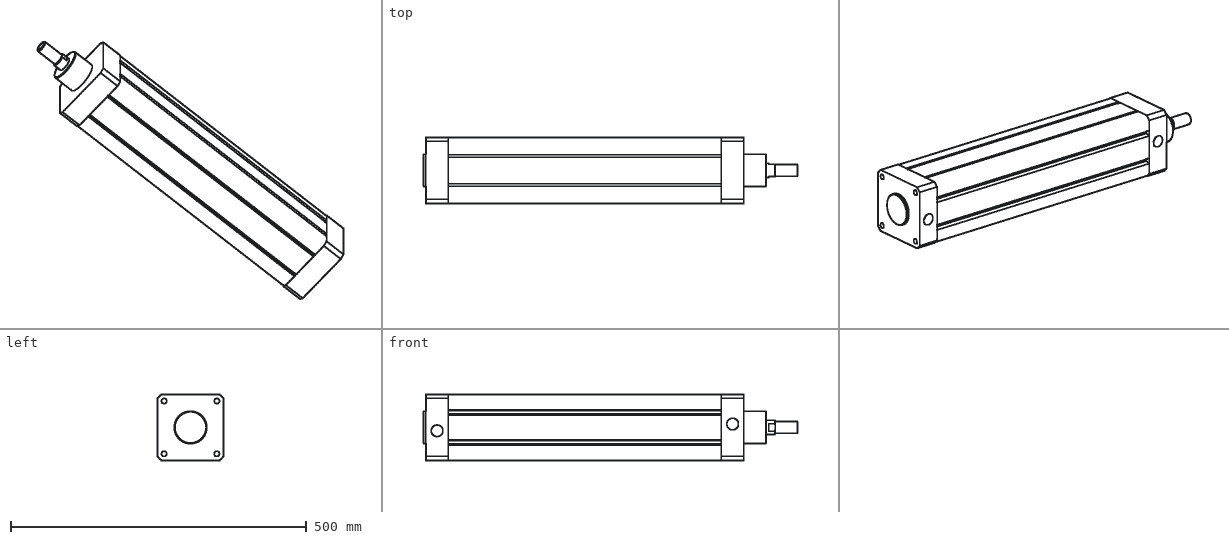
import cadquery as cq


ORIGIN = (0, 0, 0)
X_DIRECTION = (1, 0, 0)

SECTION = 112.0
HALF_SECTION = SECTION / 2
CAP_CHAMFER = 7.0
TUBE_CORNER_RADIUS = 11.5

TOTAL_LENGTH = 633.0
REAR_BOSS_LENGTH = 4.5
CAP_LENGTH = 38.0
TUBE_LENGTH = 461.5
FRONT_BOSS_LENGTH = 38.0

REAR_CAP_START = REAR_BOSS_LENGTH
TUBE_START = REAR_CAP_START + CAP_LENGTH
FRONT_CAP_START = TUBE_START + TUBE_LENGTH
FRONT_CAP_END = FRONT_CAP_START + CAP_LENGTH
ROD_START = FRONT_CAP_END + FRONT_BOSS_LENGTH

BOSS_DIAMETER = 55.0
BOSS_CHAMFER = 1.0

PORT_DIAMETER = 19.5
PORT_DEPTH = 19.0
PORT_OFFSET = 6.0

SCREW_HOLE_DIAMETER = 9.0
SCREW_HOLE_DEPTH = 9.5
SCREW_SPACING = 89.0

GROOVE_DEPTH = 7.5
SIDE_GROOVE_OFFSET = 25.5
SIDE_GROOVE_MOUTH = 9.5
SIDE_GROOVE_FLOOR = 5.0
TOP_GROOVE_OFFSET = 25.0
TOP_GROOVE_WIDTH = 4.5

COLLAR_DIAMETER = 25.0
COLLAR_LENGTH = 15.0
COLLAR_CHAMFER = 1.0
FLAT_SPACING = 21.0
FLAT_MARGIN = 4.5
THREAD_DIAMETER = 20.0
THREAD_CHAMFER = 1.0


def section_plane(x):
    """Plane square to the X axis: local x is Y and local y is Z."""
    return cq.Workplane("YZ", origin=(x, 0, 0))


def square_bar(x_start, length):
    return section_plane(x_start).rect(SECTION, SECTION).extrude(length)


def cap_block(x_start):
    return square_bar(x_start, CAP_LENGTH).edges("|X").chamfer(CAP_CHAMFER)


def boss(x_start, length, end_face):
    """Round boss with its free end, named by a face selector, chamfered."""
    cylinder = section_plane(x_start).circle(BOSS_DIAMETER / 2).extrude(length)
    return cylinder.faces(end_face).chamfer(BOSS_CHAMFER)


def port(cap_start, z):
    """Cutter for a blind port halfway along a cap."""
    x = cap_start + CAP_LENGTH / 2
    port_plane = cq.Workplane("XZ", origin=(x, -HALF_SECTION, z))
    return port_plane.circle(PORT_DIAMETER / 2).extrude(-PORT_DEPTH)


def make_rear_cap():
    screw_holes = (
        section_plane(REAR_CAP_START)
        .rect(SCREW_SPACING, SCREW_SPACING, forConstruction=True)
        .vertices()
        .circle(SCREW_HOLE_DIAMETER / 2)
        .extrude(SCREW_HOLE_DEPTH)
    )
    return (
        cap_block(REAR_CAP_START)
        .union(boss(0, REAR_BOSS_LENGTH, "<X"))
        .cut(port(REAR_CAP_START, -PORT_OFFSET))
        .cut(screw_holes)
    )


def make_front_cap():
    return (
        cap_block(FRONT_CAP_START)
        .union(boss(FRONT_CAP_END, FRONT_BOSS_LENGTH, ">X"))
        .cut(port(FRONT_CAP_START, PORT_OFFSET))
    )


def groove(mouth, floor, offset):
    """Cutter for a groove along the +Z face of the tube, at Y = offset."""
    floor_z = HALF_SECTION - GROOVE_DEPTH
    outline = [
        (offset - mouth / 2, HALF_SECTION),
        (offset - floor / 2, floor_z),
        (offset + floor / 2, floor_z),
        (offset + mouth / 2, HALF_SECTION),
    ]
    return section_plane(TUBE_START).polyline(outline).close().extrude(TUBE_LENGTH)


def make_tube():
    tube = square_bar(TUBE_START, TUBE_LENGTH).edges("|X").fillet(TUBE_CORNER_RADIUS)
    for side in (-1, 1):
        straight = groove(TOP_GROOVE_WIDTH, TOP_GROOVE_WIDTH, side * TOP_GROOVE_OFFSET)
        flared = groove(SIDE_GROOVE_MOUTH, SIDE_GROOVE_FLOOR, side * SIDE_GROOVE_OFFSET)
        for turn in (0, 180):
            tube = tube.cut(straight.rotate(ORIGIN, X_DIRECTION, turn))
            tube = tube.cut(flared.rotate(ORIGIN, X_DIRECTION, turn + 90))
    return tube


def collar_blank(length):
    return section_plane(ROD_START).circle(COLLAR_DIAMETER / 2).extrude(length)


def make_collar():
    """Collar that stays round next to the boss and has two wrench flats beyond."""
    collar = collar_blank(COLLAR_LENGTH).faces(">X").chamfer(COLLAR_CHAMFER)
    between_flats = (
        section_plane(ROD_START + FLAT_MARGIN)
        .rect(FLAT_SPACING, COLLAR_DIAMETER)
        .extrude(COLLAR_LENGTH - FLAT_MARGIN)
    )
    return collar.intersect(collar_blank(FLAT_MARGIN).union(between_flats))


def make_rod():
    """Collar and threaded end; the rod butts against the front boss."""
    thread_start = ROD_START + COLLAR_LENGTH
    thread = (
        section_plane(thread_start)
        .circle(THREAD_DIAMETER / 2)
        .extrude(TOTAL_LENGTH - thread_start)
        .faces(">X")
        .chamfer(THREAD_CHAMFER)
    )
    return make_collar().union(thread)


rear_cap = make_rear_cap()
tube = make_tube()
front_cap = make_front_cap()
rod = make_rod()

result = cq.Compound.makeCompound([rear_cap.val(), tube.val(), front_cap.val(), rod.val()])